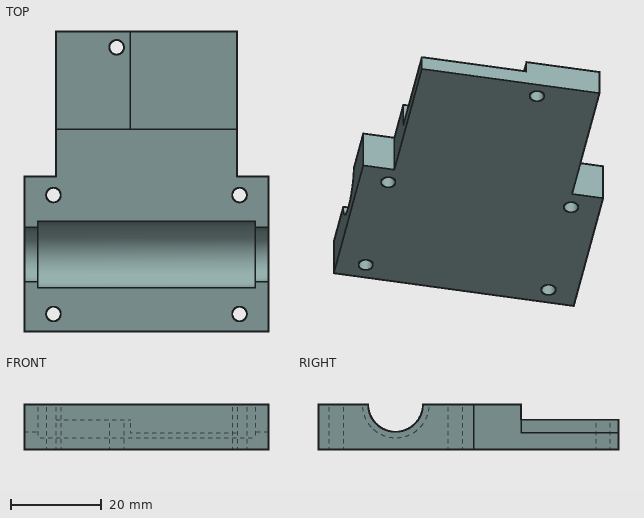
import cadquery as cq

base_length = 54.0
base_depth = 34.3
seat_from_front = 17.05
thickness = 10.0

overall_depth = 66.35
tongue_width = 40.0
shelf_depth = 21.55
shelf_drop = 3.4

shelf_width = 16.45
recess_drop = 2.9

seat_diameter = 14.7
neck_diameter = 12.1
end_wall = 2.9

hole_diameter = 3.2
hole_spacing_x = 41.1
hole_spacing_y = 26.3
shelf_hole_from_side = 13.4
shelf_hole_from_rear = 3.5

front_y = -seat_from_front
rear_y = front_y + overall_depth
base_rear_y = front_y + base_depth
tongue_left_x = -tongue_width / 2
tongue_right_x = tongue_width / 2
shelf_front_y = rear_y - shelf_depth
shelf_z = thickness - shelf_drop
recess_z = shelf_z - recess_drop


def block(x_range, y_range, z_range):
    """Axis-aligned box spanning the given (low, high) ranges."""
    lows, highs = zip(x_range, y_range, z_range)
    sizes = [high - low for low, high in zip(lows, highs)]
    return cq.Workplane("XY").box(*sizes, centered=False).translate(lows)


def seat_cutter(diameter, length):
    """Cylinder along X, centred lengthwise and with its axis on the split plane."""
    return (
        cq.Workplane("YZ", origin=(-length / 2, 0, thickness))
        .circle(diameter / 2)
        .extrude(length)
    )


def plate():
    base = block(
        (-base_length / 2, base_length / 2), (front_y, base_rear_y), (0, thickness)
    )
    tongue = block((tongue_left_x, tongue_right_x), (0, rear_y), (0, thickness))
    return base.union(tongue)


def rear_steps():
    """Material removed above the shelf and above the lower recess floor."""
    above_shelf = block(
        (tongue_left_x, tongue_right_x), (shelf_front_y, rear_y), (shelf_z, thickness)
    )
    above_recess = block(
        (tongue_left_x + shelf_width, tongue_right_x), (shelf_front_y, rear_y), (recess_z, thickness)
    )
    return above_shelf.union(above_recess)


def bearing_seat():
    neck = seat_cutter(neck_diameter, base_length)
    seat = seat_cutter(seat_diameter, base_length - 2 * end_wall)
    return neck.union(seat)


def through_holes():
    shelf_hole = (tongue_left_x + shelf_hole_from_side, rear_y - shelf_hole_from_rear)
    return (
        cq.Workplane("XY")
        .rect(hole_spacing_x, hole_spacing_y, forConstruction=True)
        .vertices()
        .circle(hole_diameter / 2)
        .extrude(thickness)
        .union(
            cq.Workplane("XY")
            .center(*shelf_hole)
            .circle(hole_diameter / 2)
            .extrude(thickness)
        )
    )


result = plate().cut(rear_steps()).cut(bearing_seat()).cut(through_holes())